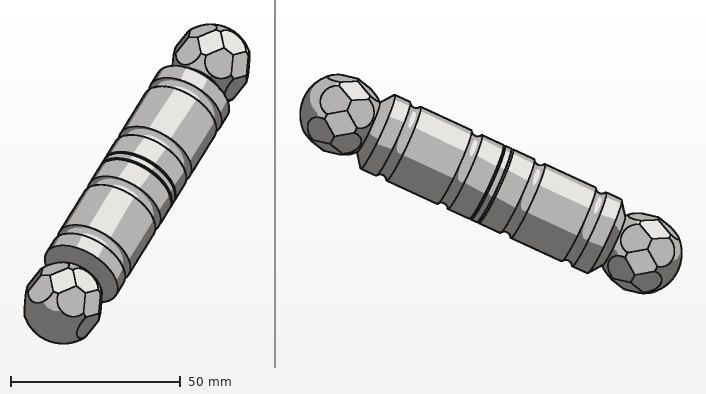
import cadquery as cq
import math

length = 121.8
diameter = 24.0
radius = diameter / 2

disc_thickness = 2.0
disc_face = disc_thickness / 2

edge_chamfer = 0.6
groove_radius = 2.0
groove_depth = 1.04
groove_positions = (10.2, 30.2)
shoulder_start = 36.9
neck_position = 40.0

ball_centre = length / 2 - radius
neck_radius = math.sqrt(radius**2 - (ball_centre - neck_position) ** 2)
facet_count = 6
facet_pitch = 360 / facet_count
facet_distance = 11.0
tilt_angle = 20.0


def centre_disc():
    """Plain disc centred on the origin."""
    return cq.Workplane("XZ", origin=(0, disc_face, 0)).circle(radius).extrude(disc_thickness)


def grip_blank():
    """Turned grip with a chamfered inner rim and a conical shoulder, ending at the neck."""
    return (
        cq.Workplane("XY")
        .moveTo(0, disc_face)
        .lineTo(radius - edge_chamfer, disc_face)
        .lineTo(radius, disc_face + edge_chamfer)
        .lineTo(radius, shoulder_start)
        .lineTo(neck_radius, neck_position)
        .lineTo(0, neck_position)
        .close()
        .revolve(360, (0, 0, 0), (0, 1, 0))
    )


def groove_cutter(position):
    """Ring of round section that cuts one groove around the grip."""
    section_centre = radius - groove_depth + groove_radius
    return (
        cq.Workplane("XY")
        .center(section_centre, position)
        .circle(groove_radius)
        .revolve(360, (-section_centre, 0, 0), (-section_centre, 1, 0))
    )


def facet_cutter(azimuth, tilt):
    """Block whose inner face lies at the facet distance from the ball centre."""
    return (
        cq.Workplane("XY")
        .box(radius, diameter, diameter)
        .translate((facet_distance + radius / 2, 0, 0))
        .rotate((0, 0, 0), (0, 0, 1), tilt)
        .rotate((0, 0, 0), (0, 1, 0), azimuth)
    )


def faceted_ball():
    """Ball with a belt of upright facets between two staggered rings of tilted ones."""
    ball = cq.Workplane("XY").sphere(radius)
    for index in range(facet_count):
        tilted_azimuth = index * facet_pitch
        belt_azimuth = tilted_azimuth + facet_pitch / 2
        ball = ball.cut(facet_cutter(belt_azimuth, 0))
        for tilt in (-tilt_angle, tilt_angle):
            ball = ball.cut(facet_cutter(tilted_azimuth, tilt))
    return ball.translate((0, ball_centre, 0))


def faceted_grip():
    """Grooved grip and its faceted ball, on the +Y side."""
    grip = grip_blank()
    for position in groove_positions:
        grip = grip.cut(groove_cutter(position))
    return grip.union(faceted_ball())


disc = centre_disc()
upper_grip = faceted_grip()
grips = [upper_grip.rotate((0, 0, 0), (0, 0, 1), turn) for turn in (0, 180)]

result = cq.Compound.makeCompound([disc.val(), *[grip.val() for grip in grips]])